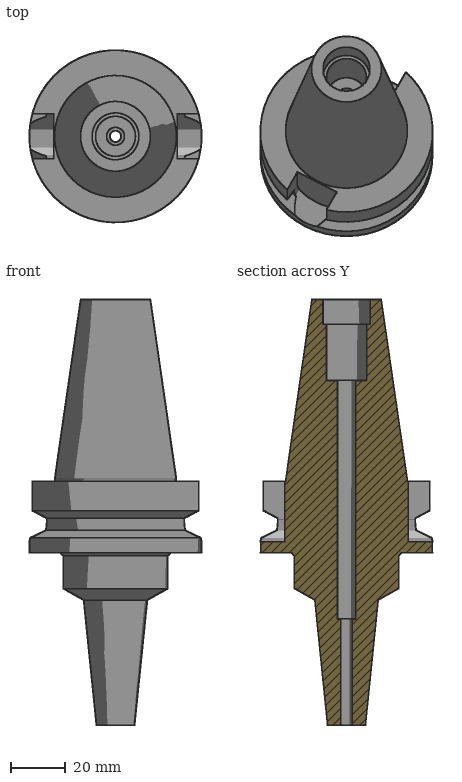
import cadquery as cq

TOTAL_LENGTH = 155.4

SHANK_TOP_RADIUS = 12.7
GAUGE_RADIUS = 22.2
GAUGE_Z = 90.0

FLANGE_RADIUS = 31.47
FLANGE_TOP_Z = 89.0
FLANGE_BOTTOM_Z = 63.0
GROOVE_RADIUS = 26.4
GROOVE_UPPER_EDGE_Z = 78.3
GROOVE_LOWER_EDGE_Z = 68.4
GROOVE_FLANK_HEIGHT = 2.8

COLLAR_RADIUS = 19.1
COLLAR_BOTTOM_Z = 49.9
COLLAR_FLARE = 1.1
NOSE_ROOT_RADIUS = 11.7
NOSE_ROOT_Z = 45.7
NOSE_TIP_RADIUS = 7.0

KEYWAY_WIDTH = 16.3
KEYWAY_FLOOR_X = 22.5
KEYWAY_BOTTOM_Z = 67.0

PILOT_RADIUS = 8.5
PILOT_DEPTH = 9.0
THREAD_RADIUS = 7.3
THREAD_DEPTH = 29.5
COOLANT_RADIUS = 3.3
COOLANT_END_Z = 38.8
TOOL_HOLE_RADIUS = 2.0


def holder_body():
    """Solid of revolution about Z: nose, collar, grooved flange and taper."""
    outline = [
        (0, 0),
        (NOSE_TIP_RADIUS, 0),
        (NOSE_ROOT_RADIUS, NOSE_ROOT_Z),
        (COLLAR_RADIUS, COLLAR_BOTTOM_Z),
        (COLLAR_RADIUS, FLANGE_BOTTOM_Z - COLLAR_FLARE),
        (COLLAR_RADIUS + COLLAR_FLARE, FLANGE_BOTTOM_Z),
        (FLANGE_RADIUS, FLANGE_BOTTOM_Z),
        (FLANGE_RADIUS, GROOVE_LOWER_EDGE_Z),
        (GROOVE_RADIUS, GROOVE_LOWER_EDGE_Z + GROOVE_FLANK_HEIGHT),
        (GROOVE_RADIUS, GROOVE_UPPER_EDGE_Z - GROOVE_FLANK_HEIGHT),
        (FLANGE_RADIUS, GROOVE_UPPER_EDGE_Z),
        (FLANGE_RADIUS, FLANGE_TOP_Z),
        (GAUGE_RADIUS, FLANGE_TOP_Z),
        (GAUGE_RADIUS, GAUGE_Z),
        (SHANK_TOP_RADIUS, TOTAL_LENGTH),
        (0, TOTAL_LENGTH),
    ]
    return cq.Workplane("XZ").polyline(outline).close().revolve(360, (0, 0), (0, 1))


def keyway_cutter(side):
    """Round-bottomed slot, open at the flange top; side is +1 or -1 along X."""
    half_width = KEYWAY_WIDTH / 2
    arc_center_z = KEYWAY_BOTTOM_Z + half_width
    return (
        cq.Workplane("YZ", origin=(side * KEYWAY_FLOOR_X, 0, 0))
        .moveTo(-half_width, FLANGE_TOP_Z)
        .lineTo(-half_width, arc_center_z)
        .threePointArc((0, KEYWAY_BOTTOM_Z), (half_width, arc_center_z))
        .lineTo(half_width, FLANGE_TOP_Z)
        .close()
        .extrude(side * FLANGE_RADIUS)
    )


def bore_step(radius, bottom_z):
    """Cylinder on the axis from bottom_z up to the top of the shank."""
    return cq.Workplane("XY", origin=(0, 0, bottom_z)).circle(radius).extrude(TOTAL_LENGTH - bottom_z)


result = holder_body()

for side in (-1, 1):
    result = result.cut(keyway_cutter(side))

bore_steps = [
    (PILOT_RADIUS, TOTAL_LENGTH - PILOT_DEPTH),
    (THREAD_RADIUS, TOTAL_LENGTH - THREAD_DEPTH),
    (COOLANT_RADIUS, COOLANT_END_Z),
    (TOOL_HOLE_RADIUS, 0),
]
for radius, bottom_z in bore_steps:
    result = result.cut(bore_step(radius, bottom_z))